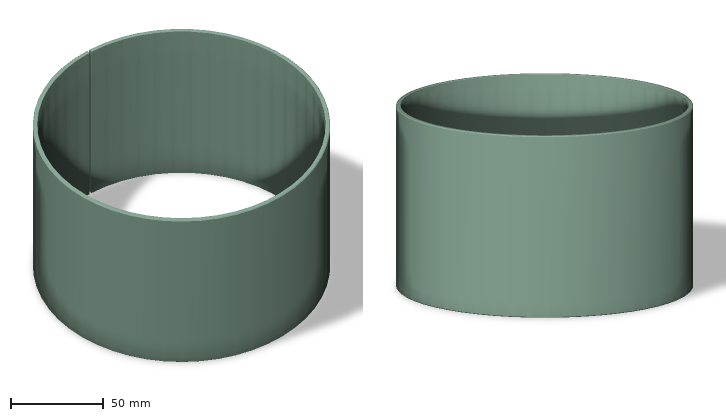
import cadquery as cq

OUTER_DIAMETER = 160.0
WALL_THICKNESS = 2.5
HEIGHT = 100.0
OUTER_CHAMFER = 0.5
INNER_CHAMFER = 0.2
SLIT_ANGLE = 1.0

OUTER_RADIUS = OUTER_DIAMETER / 2
SWEEP_ANGLE = 360.0 - SLIT_ANGLE


def make_wall_section():
    """Chamfered rectangular wall section in the XZ plane, on the -X side."""
    outer = -OUTER_RADIUS
    inner = outer + WALL_THICKNESS
    return (
        cq.Workplane("XZ")
        .moveTo(outer + OUTER_CHAMFER, 0)
        .lineTo(inner - INNER_CHAMFER, 0)
        .lineTo(inner, INNER_CHAMFER)
        .lineTo(inner, HEIGHT - INNER_CHAMFER)
        .lineTo(inner - INNER_CHAMFER, HEIGHT)
        .lineTo(outer + OUTER_CHAMFER, HEIGHT)
        .lineTo(outer, HEIGHT - OUTER_CHAMFER)
        .lineTo(outer, OUTER_CHAMFER)
        .close()
    )


def make_split_sleeve():
    """Sleeve swept about Z from -X through -Y, leaving a narrow slit on the +Y side of -X."""
    axis_start = (0, 0, 0)
    axis_end = (0, 1, 0)
    return make_wall_section().revolve(SWEEP_ANGLE, axis_start, axis_end)


result = make_split_sleeve()